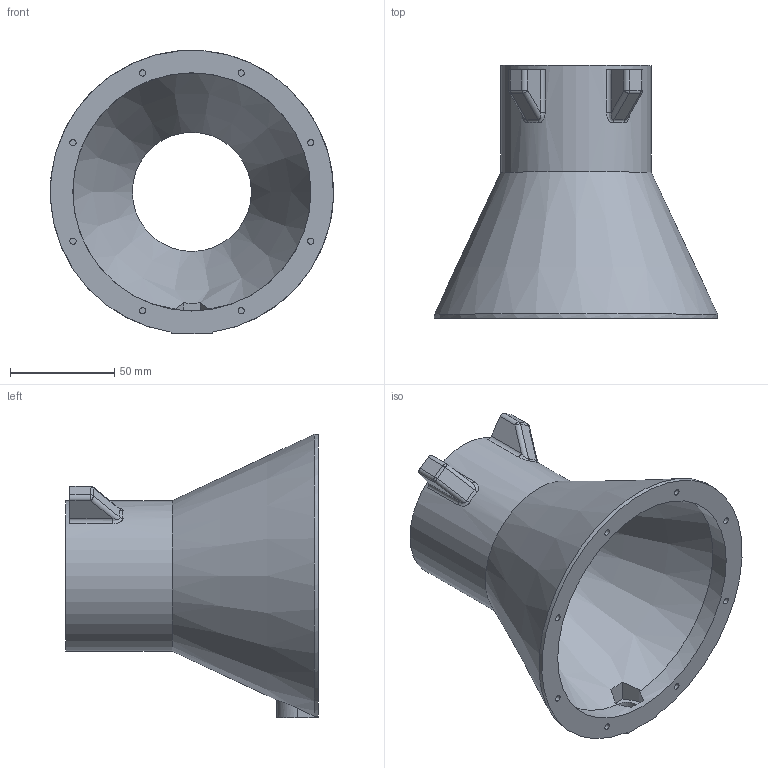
import cadquery as cq
import math

flange_radius = 67.81
flange_thickness = 2.0
tube_radius = 36.0
cone_end_y = 70.0
length = 121.0
mouth_radius = 57.0
mouth_depth = 9.0
bore_radius = 28.5

screw_count = 8
screw_circle_radius = 61.6
screw_diameter = 3.0
screw_depth = 8.0

boss_width = 20.0
boss_centre_y = 10.0
nut_across_corners = 16.2
nut_floor_z = -63.0
bolt_diameter = 10.5

lug_angle = 35.0
lug_width = 10.6
lug_tip_radius = 49.7
lug_end_gap = 2.0
lug_back_y = length - lug_end_gap
lug_tip_length = 10.8
lug_fillet = 2.0
lug_burial = 4.0
lug_root_radius = tube_radius - lug_burial

tolerance = 0.01


def revolve_about_y(points):
    """Turn a closed (radius, y) outline into a solid of revolution about the Y axis."""
    return cq.Workplane("XY").polyline(points).close().revolve(360, (0, 0, 0), (0, 1, 0))


def outer_body():
    return revolve_about_y([
        (0, 0),
        (flange_radius, 0),
        (flange_radius, flange_thickness),
        (tube_radius, cone_end_y),
        (tube_radius, length),
        (0, length),
    ])


def inner_cavity():
    return revolve_about_y([
        (0, 0),
        (mouth_radius, 0),
        (mouth_radius, mouth_depth),
        (bore_radius, cone_end_y),
        (bore_radius, length),
        (0, length),
    ])


def lug():
    """A lug pointing along +Z, with a 45 degree ramp facing the mouth."""
    ramp_length = lug_tip_radius - lug_root_radius
    ramp_top_y = lug_back_y - lug_tip_length
    outline = [
        (lug_back_y, lug_root_radius),
        (lug_back_y, lug_tip_radius),
        (ramp_top_y, lug_tip_radius),
        (ramp_top_y - ramp_length, lug_root_radius),
    ]
    block = cq.Workplane("YZ").polyline(outline).close().extrude(lug_width / 2, both=True)
    tip_edges = block.faces(">Z").edges("|Y or <Y")
    ramp_edges = block.faces("<Y").edges("not |X")
    return block.newObject(tip_edges.vals() + ramp_edges.vals()).fillet(lug_fillet)


def add_lugs(body):
    for angle in (-lug_angle, lug_angle):
        body = body.union(lug().rotate((0, 0, 0), (0, 1, 0), angle))
    return body


def is_lug_root(edge):
    """True for the edges where the front and sides of a lug meet the tube."""
    y_min = edge.BoundingBox().ymin
    y_middle = edge.Center().y
    ends = [edge.startPoint(), edge.endPoint()]
    on_tube = all(abs(math.hypot(end.x, end.z) - tube_radius) < tolerance for end in ends)
    clear_of_cone = y_min > cone_end_y + tolerance
    clear_of_lug_back = y_middle < lug_back_y - tolerance
    return on_tube and clear_of_cone and clear_of_lug_back


def fillet_lug_roots(body):
    roots = [edge for edge in body.edges().vals() if is_lug_root(edge)]
    return body.newObject(roots).fillet(lug_fillet)


def boss():
    """Upright boss, flat at the mouth and round at the back, reaching down to the flange edge."""
    return (
        cq.Workplane("XY", origin=(0, 0, -flange_radius))
        .moveTo(-boss_width / 2, 0)
        .lineTo(boss_width / 2, 0)
        .lineTo(boss_width / 2, boss_centre_y)
        .threePointArc((0, boss_centre_y + boss_width / 2), (-boss_width / 2, boss_centre_y))
        .close()
        .extrude(flange_radius - mouth_radius + mouth_depth)
    )


def nut_pocket():
    nut_plane = cq.Workplane("XY", origin=(0, boss_centre_y, nut_floor_z))
    pocket = nut_plane.polygon(6, nut_across_corners).extrude(-nut_floor_z - bore_radius)
    bolt_hole = nut_plane.circle(bolt_diameter / 2).extrude(-flange_radius - nut_floor_z)
    return pocket.union(bolt_hole)


def screw_holes():
    half_step = 180 / screw_count
    return (
        cq.Workplane("XZ")
        .polarArray(screw_circle_radius, half_step, 360, screw_count)
        .circle(screw_diameter / 2)
        .extrude(-screw_depth)
    )


body = fillet_lug_roots(add_lugs(outer_body()))
body = body.union(boss())
result = body.cut(inner_cavity()).cut(nut_pocket()).cut(screw_holes())